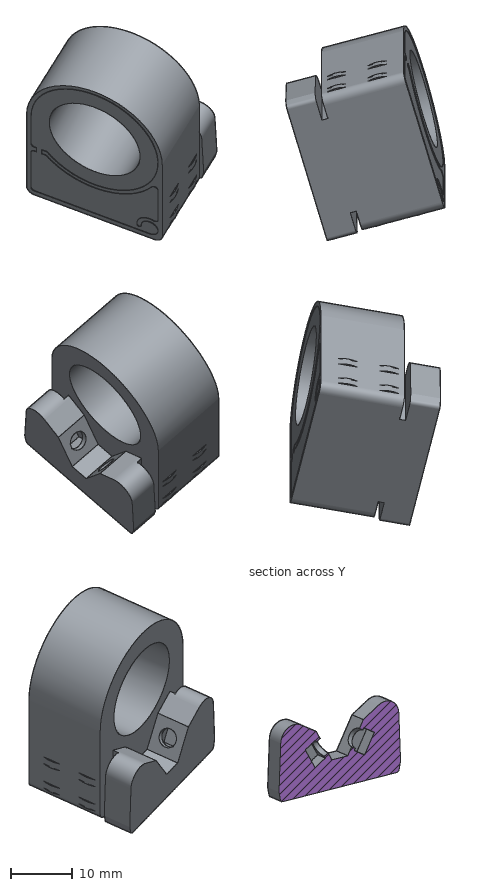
import cadquery as cq
import math

TOTAL_HEIGHT = 32.25
TOTAL_DEPTH = 20.0

BODY_RADIUS = 12.35
BODY_DEPTH = 14.0
BODY_CORNER = 1.5
BORE_RADIUS = 8.25
ARCH_Z = TOTAL_HEIGHT - BODY_RADIUS

PANEL_DEPTH = 0.1
FRAME_WIDTH = 0.8
FRAME_BASE = 1.0
PANEL_CORNER = 0.6
PANEL_HALF = BODY_RADIUS - FRAME_WIDTH
GAP_LOW_Z = 11.25
GAP_HIGH_Z = 12.25
GAP_LEFT_X = -10.58
GAP_RIGHT_X = -9.6

CURL_INNER = 1.5
CURL_OUTER = CURL_INNER + FRAME_WIDTH
CURL_X = PANEL_HALF - CURL_INNER
CURL_Z = FRAME_BASE + CURL_INNER
CURL_TAIL = 0.2

PAD_LENGTH = 3.1
PAD_HEIGHT = 1.5
PAD_BULGE = 0.23
PAD_Y = (4.48, 11.42)
PAD_Z = (2.45, 7.9)

NECK_LENGTH = 1.0
NECK_HALF = 8.48
DOME_RADIUS = 2.85
DOME_X = 9.45
DOME_Z = 10.13
FOOT_HALF = 12.25
FOOT_FILLET = 0.65
FLARE_HALF = 12.65
FLARE_Z = 1.87
UPPER_SLOPE = math.radians(30)
LOWER_SLOPE = math.radians(60)
FLOOR_HALF = 1.6
LOWER_FACE_RUN = 3.22

SCREW_RADIUS = 1.6
SCREW_WALL = 0.95
SCREW_Y = 17.0
POCKET_SIDE = 4.0
POCKET_LENGTH = 2.4


def upright_plane(y):
    """Upright workplane at depth y, with local axes along X and Z."""
    return cq.Workplane("XZ", origin=(0, y, 0))


def extrude_back(sketch, depth):
    """Extrude an upright outline toward +Y."""
    return sketch.extrude(-depth)


def box_between(x0, x1, y0, y1, z0, z1):
    return cq.Workplane("XY").box(x1 - x0, y1 - y0, z1 - z0, centered=False).translate((x0, y0, z0))


def fillet_at(solid, x, y, z, radius):
    """Round the edge along Y whose middle is nearest to the given point."""
    corner = cq.selectors.NearestToPointSelector((x, y, z))
    return solid.edges("|Y").edges(corner).fillet(radius)


def make_body():
    outline = (
        upright_plane(0)
        .moveTo(-BODY_RADIUS, 0)
        .lineTo(BODY_RADIUS, 0)
        .lineTo(BODY_RADIUS, ARCH_Z)
        .threePointArc((0, TOTAL_HEIGHT), (-BODY_RADIUS, ARCH_Z))
        .close()
    )
    body = extrude_back(outline, BODY_DEPTH)
    return body.edges("|Y and <Z").fillet(BODY_CORNER)


def round_panel(panel, x, z, radius):
    return fillet_at(panel, x, PANEL_DEPTH / 2, z, radius)


def make_ring_panel():
    """Panel around the bore, squared off down the left side."""
    entry_x = -math.sqrt(PANEL_HALF**2 - (ARCH_Z - GAP_HIGH_Z) ** 2)
    outline = (
        upright_plane(0)
        .moveTo(-PANEL_HALF, ARCH_Z)
        .lineTo(-PANEL_HALF, GAP_HIGH_Z)
        .lineTo(entry_x, GAP_HIGH_Z)
        .threePointArc((0, ARCH_Z - PANEL_HALF), (PANEL_HALF, ARCH_Z))
        .threePointArc((0, ARCH_Z + PANEL_HALF), (-PANEL_HALF, ARCH_Z))
        .close()
    )
    return round_panel(extrude_back(outline, PANEL_DEPTH), -PANEL_HALF, GAP_HIGH_Z, PANEL_CORNER)


def make_curl():
    """Hooked end of the frame: a half ring with a short round-ended tail."""
    ring = extrude_back(
        upright_plane(0).center(CURL_X, CURL_Z).circle(CURL_OUTER).circle(CURL_INNER), PANEL_DEPTH
    )
    upper_half = box_between(
        CURL_X - CURL_OUTER, CURL_X + CURL_OUTER, 0, PANEL_DEPTH, CURL_Z, CURL_Z + CURL_OUTER
    )
    tail_x = CURL_X - CURL_OUTER
    tail_z = CURL_Z - CURL_TAIL
    tail = box_between(tail_x, tail_x + FRAME_WIDTH, 0, PANEL_DEPTH, tail_z, CURL_Z)
    tip = extrude_back(
        upright_plane(0).center(tail_x + FRAME_WIDTH / 2, tail_z).circle(FRAME_WIDTH / 2), PANEL_DEPTH
    )
    return ring.intersect(upper_half).union(tail).union(tip)


def make_lower_panel():
    """Panel below the ring, bounded above by a concentric arc."""
    entry_x = -math.sqrt(BODY_RADIUS**2 - (ARCH_Z - GAP_LOW_Z) ** 2)
    point_z = ARCH_Z - math.sqrt(BODY_RADIUS**2 - PANEL_HALF**2)
    outline = (
        upright_plane(0)
        .moveTo(-PANEL_HALF, FRAME_BASE)
        .lineTo(-PANEL_HALF, GAP_LOW_Z)
        .lineTo(entry_x, GAP_LOW_Z)
        .threePointArc((0, ARCH_Z - BODY_RADIUS), (PANEL_HALF, point_z))
        .lineTo(PANEL_HALF, FRAME_BASE)
        .close()
    )
    panel = extrude_back(outline, PANEL_DEPTH)
    panel = round_panel(panel, -PANEL_HALF, FRAME_BASE, PANEL_CORNER)
    panel = round_panel(panel, -PANEL_HALF, GAP_LOW_Z, PANEL_CORNER)
    panel = round_panel(panel, PANEL_HALF, point_z, PANEL_CORNER)
    panel = round_panel(panel, PANEL_HALF, FRAME_BASE, CURL_INNER)
    panel = panel.cut(make_curl())
    curl_root_z = CURL_Z + math.sqrt(CURL_OUTER**2 - CURL_INNER**2)
    return round_panel(panel, PANEL_HALF, curl_root_z, PANEL_CORNER)


def make_panel_gap():
    """Break in the frame that links the two panels."""
    return box_between(GAP_LEFT_X, GAP_RIGHT_X, 0, PANEL_DEPTH, GAP_LOW_Z, GAP_HIGH_Z)


def make_pad(y, z):
    """Bar through the body whose two ends bulge out of the flanks."""
    flank = BODY_RADIUS
    crown = BODY_RADIUS + PAD_BULGE
    half = PAD_LENGTH / 2
    return (
        cq.Workplane("XY", origin=(0, y, z - PAD_HEIGHT / 2))
        .moveTo(-flank, -half)
        .lineTo(flank, -half)
        .threePointArc((crown, 0), (flank, half))
        .lineTo(-flank, half)
        .threePointArc((-crown, 0), (-flank, -half))
        .close()
        .extrude(PAD_HEIGHT)
    )


def dome_point(angle):
    return DOME_X + DOME_RADIUS * math.cos(angle), DOME_Z + DOME_RADIUS * math.sin(angle)


FLARE_DX = FLARE_HALF - DOME_X
FLARE_DZ = DOME_Z - FLARE_Z
FLANK_ANGLE = math.acos(DOME_RADIUS / math.hypot(FLARE_DX, FLARE_DZ)) - math.atan2(FLARE_DZ, FLARE_DX)

SHOULDER_ANGLE = math.pi / 2 + UPPER_SLOPE
SHOULDER_X, SHOULDER_Z = dome_point(SHOULDER_ANGLE)
BEND_X = FLOOR_HALF + LOWER_FACE_RUN
BEND_Z = SHOULDER_Z - (SHOULDER_X - BEND_X) * math.tan(UPPER_SLOPE)
FLOOR_Z = BEND_Z - LOWER_FACE_RUN * math.tan(LOWER_SLOPE)


def make_clip():
    """Both wings and the valley, with the wings cut away from the body to leave a neck."""
    outline = (
        upright_plane(BODY_DEPTH)
        .moveTo(0, 0)
        .lineTo(FOOT_HALF, 0)
        .lineTo(FLARE_HALF, FLARE_Z)
        .lineTo(*dome_point(FLANK_ANGLE))
        .threePointArc(dome_point(math.pi / 2), (SHOULDER_X, SHOULDER_Z))
        .lineTo(BEND_X, BEND_Z)
        .lineTo(FLOOR_HALF, FLOOR_Z)
        .lineTo(0, FLOOR_Z)
        .close()
    )
    half = extrude_back(outline, TOTAL_DEPTH - BODY_DEPTH)
    half = fillet_at(half, FOOT_HALF, (BODY_DEPTH + TOTAL_DEPTH) / 2, 0, FOOT_FILLET)
    relief = box_between(NECK_HALF, FLARE_HALF, BODY_DEPTH, BODY_DEPTH + NECK_LENGTH, 0, TOTAL_HEIGHT)
    half = half.cut(relief)
    return half.union(half.mirror("YZ"))


def make_screw_cut(side):
    """Screw hole and nut pocket; side is 1 for +X and -1 for -X."""
    face_centre = (
        side * (FLOOR_HALF + BEND_X) / 2,
        SCREW_Y,
        (FLOOR_Z + BEND_Z) / 2,
    )
    inward = (side * math.sin(LOWER_SLOPE), 0, -math.cos(LOWER_SLOPE))
    face = cq.Workplane(cq.Plane(origin=face_centre, xDir=(0, 1, 0), normal=inward))
    hole = face.circle(SCREW_RADIUS).extrude(SCREW_WALL)
    pocket = face.workplane(offset=SCREW_WALL).rect(POCKET_SIDE, POCKET_SIDE).extrude(POCKET_LENGTH)
    return hole.union(pocket)


result = make_body()
for pad_y in PAD_Y:
    for pad_z in PAD_Z:
        result = result.union(make_pad(pad_y, pad_z))
bore = extrude_back(upright_plane(0).center(0, ARCH_Z).circle(BORE_RADIUS), BODY_DEPTH)
result = result.cut(bore)
for panel in (make_ring_panel(), make_lower_panel(), make_panel_gap()):
    result = result.cut(panel)
result = result.union(make_clip())
for side in (1, -1):
    result = result.cut(make_screw_cut(side))